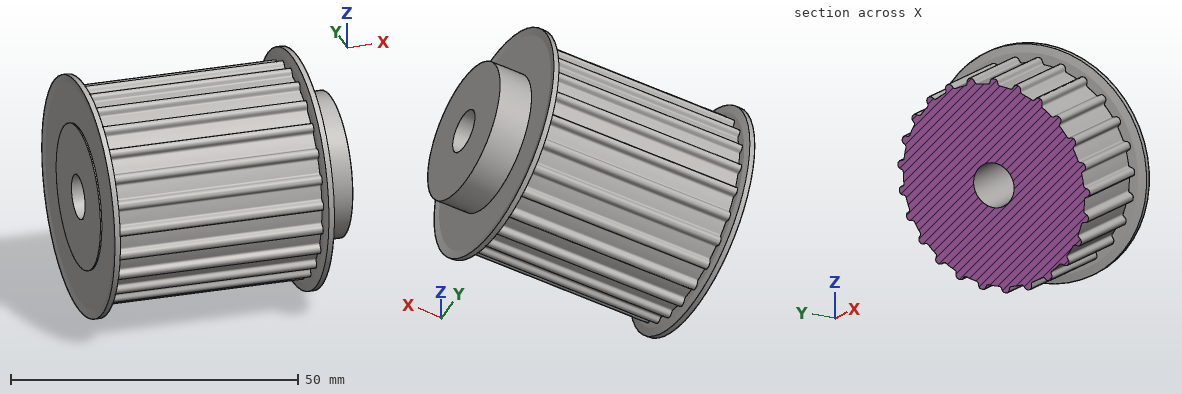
import cadquery as cq
import math

rim_to_rim_length = 40.0
hub_length = 6.0
total_length = rim_to_rim_length + hub_length

bore_diameter = 8.0
hub_diameter = 26.0
flange_diameter = 43.0
flange_bend_diameter = 40.0

flange_thickness = 1.0
flange_flare = 0.25

tooth_count = 25
tip_radius = 19.275
groove_depth = 1.1
groove_floor_width = 2.65
groove_flank_angle = 25.0
tooth_tip_fillet = 0.7
tooth_root_fillet = 0.4
groove_overcut = 1.0
edge_tolerance = 0.01

pitch_angle = 360.0 / tooth_count
root_radius = tip_radius - groove_depth


def cylinder(diameter, start, end):
    """Cylinder on the X axis between two axial positions."""
    return cq.Workplane("YZ").workplane(offset=start).circle(diameter / 2).extrude(end - start)


def groove_cutter(start, end):
    """Prism on -Z between two straight flanks, with a floor concentric with the drum."""
    floor_half = groove_floor_width / 2
    floor_edge = -math.sqrt(root_radius ** 2 - floor_half ** 2)
    cutter_top = -tip_radius - groove_overcut
    flank_run = (floor_edge - cutter_top) * math.tan(math.radians(groove_flank_angle))
    top_half = floor_half + flank_run
    return (
        cq.Workplane("YZ")
        .workplane(offset=start)
        .moveTo(-floor_half, floor_edge)
        .threePointArc((0, -root_radius), (floor_half, floor_edge))
        .lineTo(top_half, cutter_top)
        .lineTo(-top_half, cutter_top)
        .close()
        .extrude(end - start)
    )


def axial_edges(body, inner_radius, outer_radius):
    """Edges parallel to X whose distance from the axis lies between two radii."""
    found = []
    for edge in body.edges("|X").vals():
        middle = edge.Center()
        if inner_radius < math.hypot(middle.y, middle.z) < outer_radius:
            found.append(edge)
    return found


def toothed_body(start, end):
    """Toothed drum with rounded tooth tips and groove roots."""
    drum = cylinder(2 * tip_radius, start, end)
    cutter = groove_cutter(start, end)
    for index in range(tooth_count):
        drum = drum.cut(cutter.rotate((0, 0, 0), (1, 0, 0), index * pitch_angle))

    root_edges = axial_edges(drum, root_radius - edge_tolerance, root_radius + edge_tolerance)
    drum = cq.Workplane(drum.val().fillet(tooth_root_fillet, root_edges))
    tip_edges = axial_edges(drum, tip_radius - edge_tolerance, tip_radius + edge_tolerance)
    return cq.Workplane(drum.val().fillet(tooth_tip_fillet, tip_edges))


def flange(rim_position, inward):
    """Flared disc; inward is +1 or -1, the X direction from its rim to the teeth."""
    flat_outer = rim_position + inward * flange_flare
    flat_inner = flat_outer + inward * flange_thickness
    rim_inner = rim_position + inward * flange_thickness
    outline = [
        (flat_outer, 0),
        (flat_outer, flange_bend_diameter / 2),
        (rim_position, flange_diameter / 2),
        (rim_inner, flange_diameter / 2),
        (flat_inner, flange_bend_diameter / 2),
        (flat_inner, 0),
    ]
    return cq.Workplane("XY").polyline(outline).close().revolve(360, (0, 0, 0), (1, 0, 0))


flange_depth = flange_flare + flange_thickness
core = cylinder(hub_diameter, 0, total_length)
teeth = toothed_body(flange_depth, rim_to_rim_length - flange_depth)
near_flange = flange(0, 1)
far_flange = flange(rim_to_rim_length, -1)
bore = cylinder(bore_diameter, 0, total_length)

result = core.union(teeth).union(near_flange).union(far_flange).cut(bore)